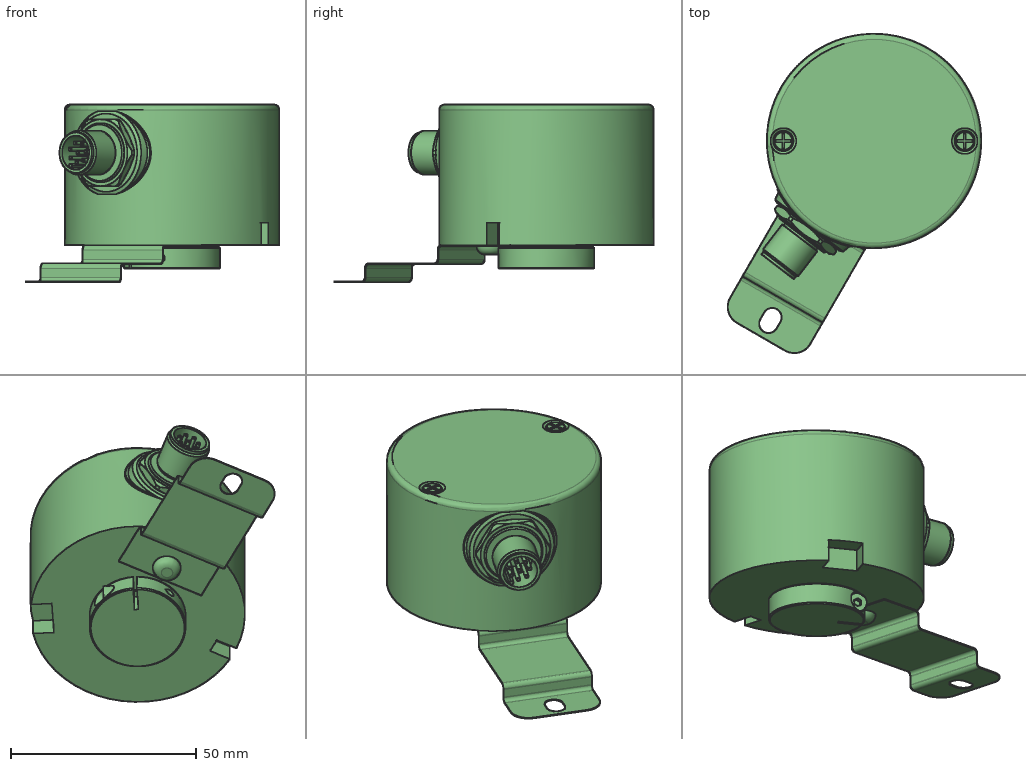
import cadquery as cq
import math

body_diameter = 58.0
body_height = 37.95
lid_rounding = 1.5
body_radius = body_diameter / 2

lid_screw_offset = 24.5
lid_screw_diameter = 4.8
lid_recess_diameter = 7.0
lid_recess_depth = 0.5
lid_recess_floor_diameter = 5.5
cross_length = 4.0
cross_width = 0.6
cross_depth = 0.8

notch_height = 5.95
notch_depth = 6.0
narrow_notch_angle = 330
narrow_notch_width = 4.0
wide_notch_angle = 120
wide_notch_width = 9.6

shaft_diameter = 16.0
ring_diameter = 26.0
ring_gap = 0.5
ring_height = 5.95
ring_chamfer = 0.35
slit_angle = 210
slit_width = 1.0
slit_depth = 6.9
clamp_screw_offset = 9.05
clamp_head_diameter = 5.2
clamp_head_length = 4.0
clamp_head_reach = 8.7
clamp_hole_diameter = 2.0
clamp_hole_depth = 2.6
clamp_socket_size = 2.0
clamp_socket_depth = 1.3
ring_middle_z = -ring_gap - ring_height / 2

bracket_angle = 240
sheet = 0.3
bracket_width = 25.0
bracket_start = 13.4
bracket_end = 61.1
bracket_drop = 10.1
inner_bend = 1.0
outer_bend = inner_bend + sheet
first_step_wall = 26.7
second_step_wall = 49.4
bracket_corner = 5.0
slot_position = 56.0
slot_width = 5.0
slot_length = 7.0
step_drop = (bracket_drop - sheet) / 2

bracket_screw_position = 17.4
bracket_screw_diameter = 7.6
bracket_screw_bottom = 2.6
bracket_screw_rounding = 2.2

connector_angle = 232.5
connector_z = 24.9
boss_root_diameter = 24.5
foot_root_diameter = 25.9
foot_height = 0.3
boss_root = 25.7
washer_diameter = 23.2
washer_edge = 28.8
washer_face_diameter = 21.1
washer_face = 29.2
nut_size = 18.0
nut_turn = 30
nut_corner_diameter = 20.2
nut_face = 31.6
nut_chamfer = 0.6
collar_diameter = 16.0
collar_face = 32.2
collar_chamfer = 0.4
plug_diameter = 12.0
plug_start = 32.95
plug_shoulder = 41.4
plug_tip_diameter = 11.0
plug_tip_start = 41.9
plug_end = 42.8
plug_bore_diameter = 9.2
plug_floor = 35.0

pin_diameter = 1.0
pin_tip_diameter = 0.8
pin_end = 42.0
pin_circle_diameter = 5.5
outer_pin_count = 7
pin_start_angle = 108
pin_spacing = 360 / outer_pin_count
key_angle = pin_start_angle + 2.5 * pin_spacing
key_width = 1.0
key_height = 0.8


def polar(radius, angle):
    """Point in a plane at the given radius and angle in degrees."""
    return (radius * math.cos(math.radians(angle)), radius * math.sin(math.radians(angle)))


def radial_box(start, length, width, bottom, height, angle):
    """Box that runs radially outwards from the housing axis."""
    box = cq.Workplane("XY").box(length, width, height, centered=(False, True, False))
    return box.translate((start, 0, bottom)).rotate((0, 0, 0), (0, 0, 1), angle)


def disc(diameter, bottom, height):
    return cq.Workplane("XY").workplane(offset=bottom).circle(diameter / 2).extrude(height)


def make_housing():
    housing = disc(body_diameter, 0, body_height).faces(">Z").edges().fillet(lid_rounding)
    for angle, width in ((narrow_notch_angle, narrow_notch_width), (wide_notch_angle, wide_notch_width)):
        length = 2 * notch_depth
        housing = housing.cut(radial_box(body_radius - notch_depth, length, width, 0, notch_height, angle))
    return housing


def cut_lid_screw(housing, x):
    """Leave a screw head inside a conical recess and cut its cross slot."""
    recess_floor = body_height - lid_recess_depth
    recess = (
        cq.Workplane("XY", origin=(x, 0, recess_floor))
        .circle(lid_recess_floor_diameter / 2)
        .workplane(offset=lid_recess_depth)
        .circle(lid_recess_diameter / 2)
        .loft(ruled=True)
    )
    head = disc(lid_screw_diameter, recess_floor, lid_recess_depth).translate((x, 0, 0))
    slot = cq.Workplane("XY", origin=(x, 0, body_height - cross_depth))
    cross = slot.rect(cross_length, cross_width).extrude(cross_depth)
    cross = cross.union(slot.rect(cross_width, cross_length).extrude(cross_depth))
    return housing.cut(recess).union(head).cut(cross)


def make_clamping_ring():
    """Ring with its slit on +X and the clamping screw along Y, then turned into place."""
    ring_bottom = -ring_gap - ring_height
    ring = disc(ring_diameter, ring_bottom, ring_height).edges().chamfer(ring_chamfer)
    slit_start = ring_diameter / 2 - slit_depth
    ring = ring.cut(radial_box(slit_start, 2 * slit_depth, slit_width, ring_bottom, ring_height, 0))

    entry = cq.Plane(
        origin=(clamp_screw_offset, -clamp_head_reach, ring_middle_z), xDir=(1, 0, 0), normal=(0, 1, 0)
    )
    recess = cq.Workplane(entry).circle(clamp_head_diameter / 2).extrude(-ring_diameter)
    head = cq.Workplane(entry).circle(clamp_head_diameter / 2).extrude(clamp_head_length)
    socket = cq.Workplane(entry).polygon(6, clamp_socket_size, circumscribed=True).extrude(clamp_socket_depth)
    hole_exit = math.sqrt((ring_diameter / 2) ** 2 - clamp_screw_offset**2)
    hole = (
        cq.Workplane(entry)
        .workplane(offset=clamp_head_reach + hole_exit - clamp_hole_depth)
        .circle(clamp_hole_diameter / 2)
        .extrude(2 * clamp_hole_depth)
    )
    ring = ring.cut(recess).union(head).cut(socket).cut(hole)
    return ring.rotate((0, 0, 0), (0, 0, 1), slit_angle).union(disc(shaft_diameter, -ring_gap, ring_gap))


def round_bends(bracket, points, radius):
    """Round the bend edges that cross the bracket at the given (x, z) points."""
    reach = sheet / 2
    for x, z in points:
        near = cq.selectors.BoxSelector((x - reach, -reach, z - reach), (x + reach, reach, z + reach))
        bracket = bracket.edges("|Y").edges(near).fillet(radius)
    return bracket


def make_bracket():
    """Sheet bracket running along +X, then turned into place."""
    corners = [(bracket_start, 0)]
    for index, wall in enumerate((first_step_wall, second_step_wall)):
        corners += [(wall, -index * step_drop), (wall, -(index + 1) * step_drop)]
    corners.append((bracket_end, -2 * step_drop))
    lower = [(x - sheet, z - sheet) for x, z in corners[1:-1]]
    outline = corners + [(bracket_end, -bracket_drop)] + lower[::-1] + [(bracket_start, -sheet)]
    bracket = cq.Workplane("XZ").polyline(outline).close().extrude(bracket_width / 2, both=True)

    outside = corners[1:-1:2] + lower[1::2]
    inside = corners[2:-1:2] + lower[0::2]
    bracket = round_bends(bracket, inside, inner_bend)
    bracket = round_bends(bracket, outside, outer_bend)

    bracket = bracket.edges("|Z and >X").fillet(bracket_corner)
    slot = (
        cq.Workplane("XY", origin=(slot_position, 0, -bracket_drop))
        .slot2D(slot_length, slot_width)
        .extrude(2 * sheet)
    )
    screw = (
        disc(bracket_screw_diameter, -bracket_screw_bottom, bracket_screw_bottom)
        .faces("<Z")
        .edges()
        .fillet(bracket_screw_rounding)
        .translate((bracket_screw_position, 0, 0))
    )
    return bracket.cut(slot).union(screw).rotate((0, 0, 0), (0, 0, 1), bracket_angle)


def turned(profile):
    """Solid of revolution about X from (distance, diameter) pairs."""
    radii = [(distance, diameter / 2) for distance, diameter in profile]
    outline = [(profile[0][0], 0)] + radii + [(profile[-1][0], 0)]
    return cq.Workplane("XY").polyline(outline).close().revolve(360, (0, 0, 0), (1, 0, 0))


def rod(start, end, diameter, y, z):
    return cq.Workplane("YZ", origin=(start, y, z)).circle(diameter / 2).extrude(end - start)


def make_connector():
    """Connector pointing along +X, then turned and lifted into place."""
    boss_and_washer = turned(
        [
            (boss_root, boss_root_diameter),
            (washer_edge, washer_diameter),
            (washer_face, washer_face_diameter),
        ]
    )
    foot = turned([(boss_root, foot_root_diameter), (washer_edge, washer_diameter)])
    foot = foot.intersect(disc(body_diameter + 2 * foot_height, -washer_diameter, 2 * washer_diameter))

    nut = cq.Workplane("YZ", origin=(washer_face, 0, 0)).polygon(6, nut_size, circumscribed=True)
    nut = nut.extrude(nut_face - washer_face).rotate((0, 0, 0), (1, 0, 0), nut_turn).intersect(
        turned(
            [
                (washer_face, nut_size),
                (washer_face + nut_chamfer, nut_corner_diameter),
                (nut_face - nut_chamfer, nut_corner_diameter),
                (nut_face, nut_size),
            ]
        )
    )
    plug = turned(
        [
            (boss_root, collar_diameter),
            (collar_face - collar_chamfer, collar_diameter),
            (collar_face, collar_diameter - 2 * collar_chamfer),
            (collar_face, plug_tip_diameter),
            (plug_start, plug_tip_diameter),
            (plug_start, plug_diameter),
            (plug_shoulder, plug_diameter),
            (plug_tip_start, plug_tip_diameter),
            (plug_end, plug_tip_diameter),
        ]
    )
    plug = plug.cut(rod(plug_floor, plug_end, plug_bore_diameter, 0, 0))

    pin_centers = [(0, 0)]
    for index in range(outer_pin_count):
        pin_centers.append(polar(pin_circle_diameter / 2, pin_start_angle + index * pin_spacing))
    connector = boss_and_washer.union(foot).union(nut).union(plug)
    for y, z in pin_centers:
        pin = rod(plug_floor, pin_end, pin_diameter, y, z)
        pin = pin.faces(">X").chamfer((pin_diameter - pin_tip_diameter) / 2)
        connector = connector.union(pin)

    key = (
        cq.Workplane("XY")
        .box(pin_end - plug_floor, 2 * key_height, key_width, centered=(False, True, True))
        .translate((plug_floor, plug_bore_diameter / 2, 0))
        .rotate((0, 0, 0), (1, 0, 0), key_angle)
    )
    key = key.intersect(rod(plug_floor, pin_end, plug_tip_diameter, 0, 0))
    connector = connector.union(key)
    return connector.rotate((0, 0, 0), (0, 0, 1), connector_angle).translate((0, 0, connector_z))


result = make_housing()
for side in (-1, 1):
    result = cut_lid_screw(result, side * lid_screw_offset)
result = result.union(make_clamping_ring()).union(make_bracket()).union(make_connector())